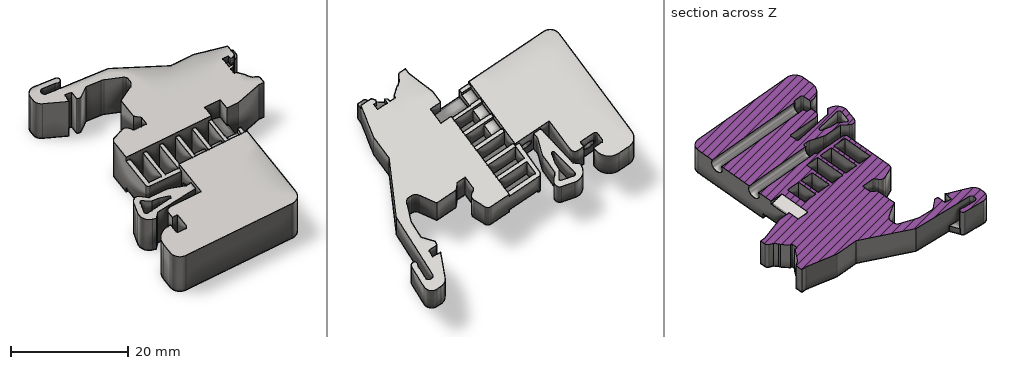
import cadquery as cq
import math

LENGTH = 45.0
HEIGHT = 9.4
TOP_Y = 35.4
RECESS_DEPTH = 1.05
COMB_TOP = HEIGHT - RECESS_DEPTH
WEB_HEIGHT = 1.3

BODY_RIGHT = 21.4
BLOCK_LEFT = 27.45
BLOCK_TOP = 27.3
RAIL_Y = 13.65
LUG_BOTTOM = 6.8
HOOK_FLOOR_Y = 7.5
LATCH_ROOT = 0.45

CELL_PITCH = 3.3
CELL_WALL = 0.7
CELL_COUNT = 6
CELL_LENGTH = CELL_PITCH - CELL_WALL
CELL_FLOOR = RECESS_DEPTH + CELL_WALL
LEDGE_LEFT = 25.45
LEDGE_TOP = COMB_TOP - 1.1
LEDGE_COUNT = 3

FUNNEL_LEFT = 19.25
FUNNEL_LOW_Y = 23.95
FUNNEL_BEND_Y = 24.65
FUNNEL_HIGH_Y = 27.05
FUNNEL_EXIT_Z = 4.72
FUNNEL_LONG_SLOPE = math.radians(15)
FUNNEL_SHORT_SLOPE = math.radians(24)

EAR_STEP_Z = HEIGHT - 1.7
EAR_TIP_Y = 34.35

BORE_RADIUS = 1.25
BORE_XS = (29.65, 38.55)


def outline(corners):
    """Closed wire through (x, y) or (x, y, radius) corners, with tangent arcs where a radius is given."""
    path = None
    count = len(corners)
    for i, corner in enumerate(corners):
        here = cq.Vector(corner[0], corner[1])
        before = cq.Vector(*corners[i - 1][:2])
        after = cq.Vector(*corners[(i + 1) % count][:2])
        radius = corner[2] if len(corner) > 2 else 0
        if radius:
            back = (before - here).normalized()
            ahead = (after - here).normalized()
            half_angle = back.getAngle(ahead) / 2
            reach = radius / math.tan(half_angle)
            gap = radius / math.sin(half_angle) - radius
            start = here + back * reach
            middle = here + (back + ahead).normalized() * gap
            end = here + ahead * reach
        else:
            start = here
        start_point = (start.x, start.y)
        path = path.lineTo(*start_point) if path else cq.Workplane("XY").moveTo(*start_point)
        if radius:
            path = path.threePointArc((middle.x, middle.y), (end.x, end.y))
    return path.close()


def plate(corners, bottom, top):
    return outline(corners).extrude(top - bottom).translate((0, 0, bottom))


def box(x0, x1, y0, y1, z0, z1):
    return cq.Workplane("XY").box(x1 - x0, y1 - y0, z1 - z0, centered=False).translate((x0, y0, z0))


def make_body():
    """Eared body with its rail seat, spring arm and hooked foot."""
    ears = [
        (10.0, TOP_Y), (11.45, TOP_Y, 0.45), (12.15, 34.33), (14.45, 32.65), (14.45, 32.15), (15.6, 32.15),
        (15.6, 32.57), (16.85, 33.6), (17.25, 33.75), (17.95, 34.33), (18.45, TOP_Y, 0.67), (19.98, TOP_Y),
        (19.98, EAR_TIP_Y), (BODY_RIGHT, 29.4),
    ]
    rail_seat = [
        (BODY_RIGHT, LUG_BOTTOM), (16.95, LUG_BOTTOM, 0.9), (15.6, 10.15, 1.0), (17.05, 11.05, 0.35),
        (17.05, RAIL_Y), (15.4, RAIL_Y), (14.45, 12.65), (10.45, 12.65),
    ]
    arm_and_foot = [
        (8.4, 16.2, 1.35), (6.52, 16.2, 0.9), (4.95, 12.35, 1.8), (4.72, 9.2), (6.25, 7.2, 0.25),
        (6.15, 6.5, 0.22), (4.45, 6.5), (4.27, 5.2), (5.9, 5.05), (3.45, 0.0, 1.65), (-0.15, 0.0, 1.57),
        (0.382, 6.35, 0.6), (1.65, 6.25, 0.5), (1.3, 5.17, 0.45), (1.1, 2.1, 0.55), (2.45, 2.1, 0.55),
    ]
    back = [(3.35, 14.55), (8.45, 23.9), (8.45, 28.5), (10.0, EAR_TIP_Y)]
    body = plate(ears + rail_seat + arm_and_foot + back, 0, HEIGHT)
    web = plate([(2.8, 7.2), (0.95, 6.35), (0.67, 1.57), (2.7, 1.57)], 0, WEB_HEIGHT)
    return body.union(web)


def make_ear_step():
    """Material above the lowered tip of the left ear and the notch beside it."""
    return plate([
        (9.9, EAR_TIP_Y), (12.15, EAR_TIP_Y), (12.6, 33.75, 0.1), (12.45, 33.3), (11.88, 33.3), (11.88, 32.15),
        (13.9, 32.15), (13.9, TOP_Y), (9.9, TOP_Y),
    ], EAR_STEP_Z, HEIGHT)


def make_block():
    """Solid end block with the fixed rail hook."""
    return plate([
        (BLOCK_LEFT, BLOCK_TOP), (LENGTH, BLOCK_TOP, 1.95), (LENGTH, 2.05, 1.95), (37.95, 2.05, 2.95),
        (37.95, 5.35), (40.0, 5.35, 0.3), (40.0, HOOK_FLOOR_Y, 0.5), (36.7, HOOK_FLOOR_Y),
        (36.7, 6.5), (34.55, 6.5, 1.0), (34.55, RAIL_Y), (BLOCK_LEFT, RAIL_Y),
    ], 0, HEIGHT)


def make_latch():
    """Spring latch hanging from the block, with a blind window."""
    latch = plate([
        (31.22, RAIL_Y + LATCH_ROOT), (31.4, 12.6, 1.35), (30.3, 9.6, 1.35), (30.25, 5.85), (28.15, 3.5, 1.0),
        (34.0, 1.9, 2.02), (34.75, 4.5), (33.75, 5.4), (32.7, RAIL_Y + LATCH_ROOT),
    ], 0, COMB_TOP)
    window = plate([
        (31.8, 9.2, 0.22), (32.25, 9.0, 0.2), (33.05, 3.3, 0.4), (29.9, 4.15, 0.25), (31.15, 5.85), (31.22, 7.2),
    ], WEB_HEIGHT, COMB_TOP)
    return latch.cut(window)


def make_comb():
    """Row of open cells between the body and the block; the first ones have a ledge beside the block."""
    comb = box(BODY_RIGHT, BLOCK_LEFT, LUG_BOTTOM, BLOCK_TOP, RECESS_DEPTH, COMB_TOP)
    lug_side = plate([
        (BLOCK_LEFT, RAIL_Y), (28.3, RAIL_Y), (28.15, LUG_BOTTOM, 0.55), (BLOCK_LEFT, LUG_BOTTOM),
    ], 0, COMB_TOP)
    comb = comb.union(lug_side)
    first_cell_top = BLOCK_TOP - CELL_WALL
    for i in range(CELL_COUNT):
        cell_top = first_cell_top - i * CELL_PITCH
        cell_bottom = cell_top - CELL_LENGTH
        has_ledge = i < LEDGE_COUNT
        under_funnel = i == 0
        if has_ledge:
            comb = comb.cut(box(LEDGE_LEFT, BLOCK_LEFT, cell_bottom, cell_top, LEDGE_TOP, COMB_TOP))
        if not under_funnel:
            right = LEDGE_LEFT if has_ledge else BLOCK_LEFT
            comb = comb.cut(box(BODY_RIGHT, right, cell_bottom, cell_top, CELL_FLOOR, COMB_TOP))
    return comb


def make_funnel():
    """Slot over the body edge and the first cell; its bent floor slopes down to an exit over the end wall."""
    bend_z = FUNNEL_EXIT_Z + (FUNNEL_HIGH_Y - FUNNEL_BEND_Y) * math.tan(FUNNEL_LONG_SLOPE)
    start_z = bend_z + (FUNNEL_BEND_Y - FUNNEL_LOW_Y) * math.tan(FUNNEL_SHORT_SLOPE)
    profile = [
        (FUNNEL_LOW_Y, HEIGHT), (FUNNEL_LOW_Y, start_z), (FUNNEL_BEND_Y, bend_z),
        (FUNNEL_HIGH_Y, FUNNEL_EXIT_Z), (FUNNEL_HIGH_Y, HEIGHT),
    ]
    slot = cq.Workplane("YZ").polyline(profile).close().extrude(LEDGE_LEFT - FUNNEL_LEFT)
    slot = slot.translate((FUNNEL_LEFT, 0, 0))
    mouth = box(BODY_RIGHT, LEDGE_LEFT, FUNNEL_HIGH_Y, BLOCK_TOP, FUNNEL_EXIT_Z, HEIGHT)
    return slot.union(mouth)


def make_bore(x):
    """Cross bore along Y, from the hook groove level to the +Y face of the block."""
    depth = BLOCK_TOP - HOOK_FLOOR_Y
    bore = cq.Workplane("XZ").center(x, HEIGHT / 2).circle(BORE_RADIUS).extrude(-depth)
    return bore.translate((0, HOOK_FLOOR_Y, 0))


block = make_block()
for bore_x in BORE_XS:
    block = block.cut(make_bore(bore_x))

result = (
    make_body()
    .cut(make_ear_step())
    .union(make_comb())
    .union(block)
    .union(make_latch())
    .cut(make_funnel())
)